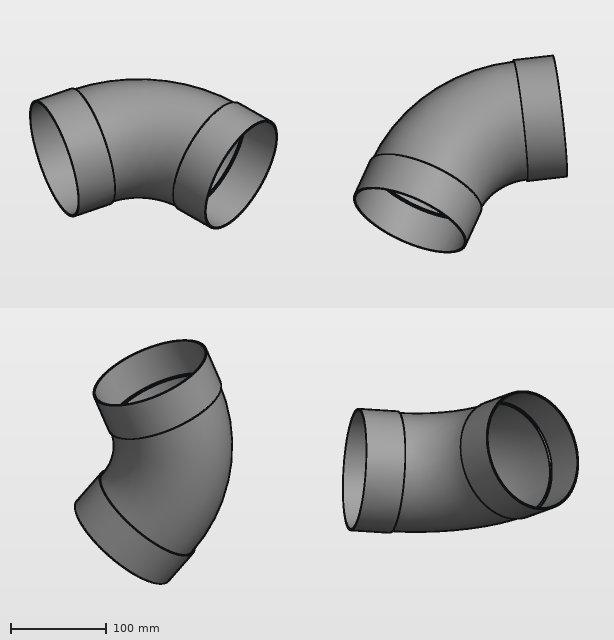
import cadquery as cq
import math

wall = 1.7
socket_diameter = 128.5
socket_bore = socket_diameter - 2 * wall
socket_length = 41.7
bend_diameter = socket_bore
bend_bore = bend_diameter - 2 * wall
taper_length = 1.7
bend_angle = 60
bend_radius = 125.3

angle = math.radians(bend_angle)
first_opening = cq.Vector(0, 0, 0)
first_inward = cq.Vector(0, 1, 0)
bend_start = first_opening + first_inward * socket_length
bend_end = bend_start + cq.Vector(
    bend_radius * (1 - math.cos(angle)), bend_radius * math.sin(angle), 0
)
second_outward = cq.Vector(math.sin(angle), math.cos(angle), 0)
second_opening = bend_end + second_outward * socket_length
second_inward = second_outward * -1

socket_ends = [(first_opening, first_inward), (second_opening, second_inward)]


def bend(diameter):
    """Round bar turned from +Y towards +X about an axis parallel to Z."""
    profile = cq.Workplane("XZ", origin=bend_start.toTuple()).circle(diameter / 2)
    return profile.revolve(bend_angle, (bend_radius, 2.3, 0), (bend_radius, 0, 0))


def socket_body(opening, inward):
    """Solid cylinder from the opening to the bend."""
    return cq.Solid.makeCylinder(socket_diameter / 2, socket_length, opening, inward)


def socket_passage(opening, inward):
    """Straight bore from the opening, tapering to the bend bore at its inner end."""
    bore_length = socket_length - taper_length
    bore = cq.Solid.makeCylinder(socket_bore / 2, bore_length, opening, inward)
    taper_start = opening + inward * bore_length
    taper = cq.Solid.makeCone(
        socket_bore / 2, bend_bore / 2, taper_length, taper_start, inward
    )
    return bore.fuse(taper)


outside = bend(bend_diameter)
passage = bend(bend_bore)
for opening, inward in socket_ends:
    outside = outside.union(cq.Workplane(socket_body(opening, inward)))
    passage = passage.union(cq.Workplane(socket_passage(opening, inward)))

result = outside.cut(passage)